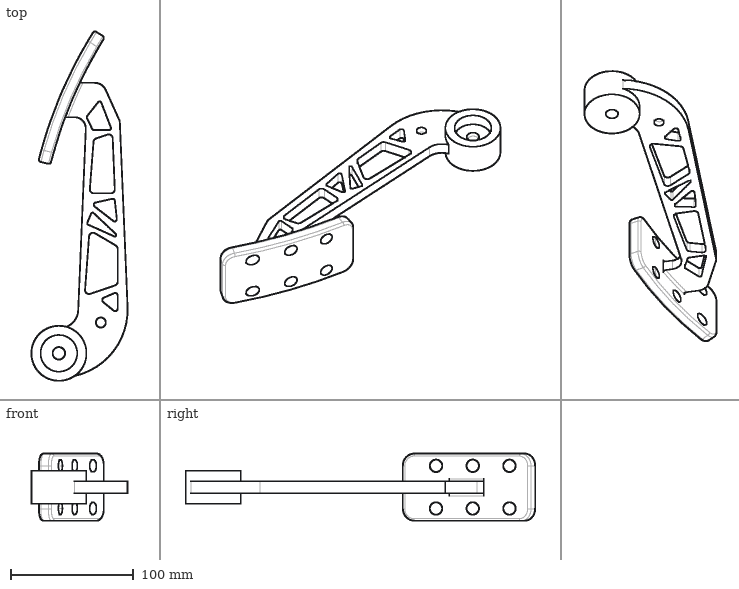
import cadquery as cq
import math

HUB_DIAMETER = 45.0
HUB_HEIGHT = 27.0
BORE_DIAMETER = 10.0
RECESS_DIAMETER = 30.0
RECESS_DEPTH = 10.0

ARM_THICKNESS = 10.0
BEND_CENTER_X = 0.5
BEND_CENTER_Y = 35.5
BEND_INNER_RADIUS = 15.0
BEND_OUTER_RADIUS = 55.5
TAPER_ANGLE = math.radians(2.4)
SHOULDER_Y = 189.0
HEAD_TOP_Y = 220.5
HEAD_BOTTOM_Y = 192.3
HEAD_SLOPE_TOP_X = 35.5
HEAD_TOP_RADIUS = 10.0
HEAD_BOTTOM_RADIUS = 9.0
PIN_HOLE_DIAMETER = 8.0
PIN_HOLE_CENTER = (34.2, 25.0)

WINDOWS = [
    ([(33.5, 206.5), (22.5, 192.5), (27.5, 182.0), (43.0, 182.0)], 1.5),
    ([(28.5, 174.3), (43.5, 179.5), (45.5, 130.5), (25.0, 130.5)], 3.0),
    ([(26.2, 122.0), (45.3, 126.2), (47.5, 105.5)], 1.7),
    ([(27.0, 115.5), (22.8, 105.5), (51.3, 92.5)], 1.0),
    ([(25.0, 100.3), (47.9, 87.0), (47.9, 56.0), (21.0, 47.0)], 3.0),
    ([(33.5, 44.0), (47.9, 50.0), (47.9, 32.2)], 2.0),
]

PLATE_HEIGHT = 55.0
PLATE_THICKNESS = 10.3
PLATE_CENTER_X = 337.3
PLATE_CENTER_Y = 68.0
PLATE_OUTER_RADIUS = 365.0
PLATE_LOW_ANGLE = 14.0
PLATE_HIGH_ANGLE = 32.3
PLATE_CORNER_RADIUS = 10.0
PLATE_EDGE_RADIUS = 2.0
PLATE_HOLE_DIAMETER = 10.0
PLATE_HOLE_MIDDLE_Y = 211.5
PLATE_HOLE_PITCH_Y = 30.0
PLATE_HOLE_PITCH_Z = 34.8
PLATE_DRILL_REACH = 85.5
PLATE_INNER_RADIUS = PLATE_OUTER_RADIUS - PLATE_THICKNESS

JOINT_RADIUS = 2.0


def plate_point(radius, angle):
    """Point on a circle about the plate axis; the angle rises from the -X direction."""
    a = math.radians(angle)
    return (PLATE_CENTER_X - radius * math.cos(a), PLATE_CENTER_Y + radius * math.sin(a))


def plate_middle_x(y):
    """X of the mid-thickness arc of the plate at a given Y."""
    radius = PLATE_OUTER_RADIUS - PLATE_THICKNESS / 2
    return PLATE_CENTER_X - math.sqrt(radius**2 - (y - PLATE_CENTER_Y) ** 2)


def bend_point(radius, angle):
    """Point on a circle about the bend centre; the angle is in radians from +X."""
    return (BEND_CENTER_X + radius * math.cos(angle), BEND_CENTER_Y + radius * math.sin(angle))


def make_plate():
    middle_angle = (PLATE_LOW_ANGLE + PLATE_HIGH_ANGLE) / 2
    plate = (
        cq.Workplane("XY")
        .moveTo(*plate_point(PLATE_OUTER_RADIUS, PLATE_LOW_ANGLE))
        .threePointArc(
            plate_point(PLATE_OUTER_RADIUS, middle_angle),
            plate_point(PLATE_OUTER_RADIUS, PLATE_HIGH_ANGLE),
        )
        .lineTo(*plate_point(PLATE_INNER_RADIUS, PLATE_HIGH_ANGLE))
        .threePointArc(
            plate_point(PLATE_INNER_RADIUS, middle_angle),
            plate_point(PLATE_INNER_RADIUS, PLATE_LOW_ANGLE),
        )
        .close()
        .extrude(PLATE_HEIGHT / 2, both=True)
    )
    plate = plate.edges("(not |Z) and %LINE").fillet(PLATE_CORNER_RADIUS)
    return plate.edges("(not %LINE) or |Z").fillet(PLATE_EDGE_RADIUS)


def drill_plate(plate):
    """Two rows of three holes, drilled along X."""
    for row in (-1, 0, 1):
        for side in (-1, 1):
            y = PLATE_HOLE_MIDDLE_Y + row * PLATE_HOLE_PITCH_Y
            z = side * PLATE_HOLE_PITCH_Z / 2
            hole = (
                cq.Workplane("YZ")
                .center(y, z)
                .circle(PLATE_HOLE_DIAMETER / 2)
                .extrude(PLATE_DRILL_REACH, both=True)
            )
            plate = plate.cut(hole)
    return plate


def round_corner(body, x, y, radius):
    return body.edges(cq.selectors.NearestToPointSelector((x, y, 0))).fillet(radius)


def make_arm():
    """Arm profile, drawn from the plate around the head, down to the bend and back."""
    outer_start = bend_point(BEND_OUTER_RADIUS, TAPER_ANGLE)
    inner_end = bend_point(BEND_INNER_RADIUS, -TAPER_ANGLE)
    taper = math.tan(TAPER_ANGLE)
    shoulder_x = outer_start[0] - (SHOULDER_Y - outer_start[1]) * taper
    neck_x = inner_end[0] + (HEAD_BOTTOM_Y - inner_end[1]) * taper
    outline = (
        cq.Workplane("XY")
        .moveTo(plate_middle_x(HEAD_BOTTOM_Y), HEAD_BOTTOM_Y)
        .lineTo(neck_x, HEAD_BOTTOM_Y)
        .lineTo(*inner_end)
        .threePointArc(
            bend_point(BEND_INNER_RADIUS, -math.pi / 4),
            bend_point(BEND_INNER_RADIUS, -math.pi / 2),
        )
        .lineTo(*bend_point(BEND_OUTER_RADIUS, -math.pi / 2))
        .threePointArc(bend_point(BEND_OUTER_RADIUS, -math.pi / 4), outer_start)
        .lineTo(shoulder_x, SHOULDER_Y)
        .lineTo(HEAD_SLOPE_TOP_X, HEAD_TOP_Y)
        .lineTo(plate_middle_x(HEAD_TOP_Y), HEAD_TOP_Y)
        .close()
    )
    arm = outline.extrude(ARM_THICKNESS / 2, both=True)
    arm = round_corner(arm, neck_x, HEAD_BOTTOM_Y, HEAD_BOTTOM_RADIUS)
    arm = round_corner(arm, HEAD_SLOPE_TOP_X, HEAD_TOP_Y, HEAD_TOP_RADIUS)

    for corners, radius in WINDOWS:
        window = cq.Workplane("XY").polyline(corners).close().extrude(ARM_THICKNESS, both=True)
        arm = arm.cut(window.edges("|Z").fillet(radius))

    pin_hole = cq.Workplane("XY").center(*PIN_HOLE_CENTER).circle(PIN_HOLE_DIAMETER / 2)
    return arm.cut(pin_hole.extrude(ARM_THICKNESS, both=True))


def make_hub_blank():
    return cq.Workplane("XY").circle(HUB_DIAMETER / 2).extrude(HUB_HEIGHT / 2, both=True)


def cut_hub_bore(body):
    bore = cq.Workplane("XY").circle(BORE_DIAMETER / 2).extrude(HUB_HEIGHT, both=True)
    recess = (
        cq.Workplane("XY")
        .workplane(offset=HUB_HEIGHT / 2 - RECESS_DEPTH)
        .circle(RECESS_DIAMETER / 2)
        .extrude(RECESS_DEPTH)
    )
    return body.cut(bore).cut(recess)


def fillet_arm_to_plate(body):
    """Round the two arcs where the flat faces of the arm meet the plate."""
    joint = cq.selectors.BoxSelector(
        (plate_middle_x(HEAD_BOTTOM_Y), HEAD_BOTTOM_Y, -ARM_THICKNESS),
        (plate_middle_x(HEAD_TOP_Y) + PLATE_THICKNESS, HEAD_TOP_Y, ARM_THICKNESS),
    )
    return body.edges("%CIRCLE").edges(joint).edges("<Z or >Z").fillet(JOINT_RADIUS)


body = make_arm().union(drill_plate(make_plate()))
body = fillet_arm_to_plate(body)
body = body.union(make_hub_blank())
result = cut_hub_bore(body)